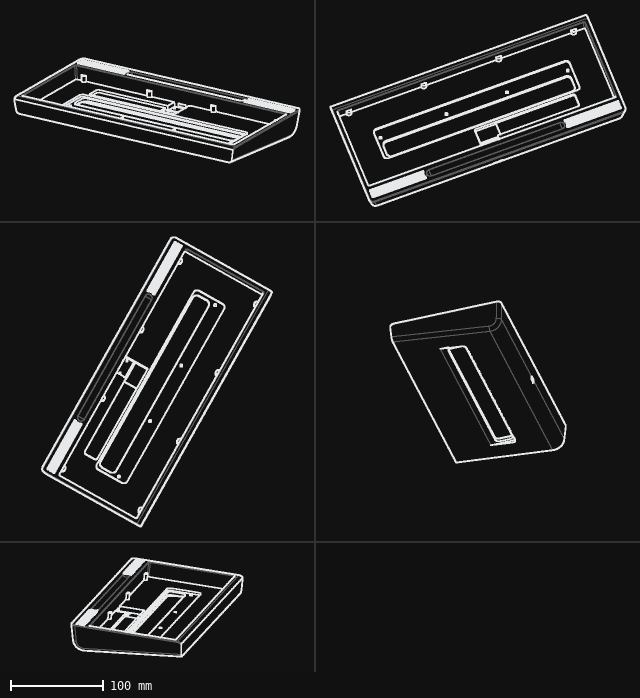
import cadquery as cq
import math


length_x = 297.5
depth_y = 123.5
height_z = 31.2

tilt = 6.0
slope = math.tan(math.radians(tilt))
tilt_sin = math.sin(math.radians(tilt))
tilt_cos = math.cos(math.radians(tilt))

side_draft = 10.0
front_inset = 1.2
back_lean = 3.3
nose_start = 4.8
nose_end_z = 16.0
back_foot_radius = 13.0
side_edge_radius = 4.8
rim_edge_radius = 1.0

rim_side = 5.5
rim_front = 7.7
rim_back = 20.0
cavity_depth = 17.0
cavity_corner_radius = 1.5
mouth_radius = 0.5

post_radius = 3.0
post_height = 6.8
front_post_xs = (-130.3, -43.5, 43.5, 130.3)
back_post_xs = (-132.5, -43.5, 43.5, 130.3)

recess_length = 226.7
recess_front = 37.8
recess_back = 75.3
recess_depth = 2.7
recess_corner_radius = 4.2
window_length = 217.8
window_front = 54.0
window_back = 73.5
window_corner_radius = 4.8
window_plate = 3.5
screw_d = 2.53
screw_depth = 1.5
screw_y = 48.5
screw_xs = (-108.5, -38.0, 32.0, 108.5)

tray_left = -105.3
tray_right = 10.5
tray_front = 78.0
tray_back = 93.5
tray_depth = 3.3
tray_corner_radius = 2.5
board_left = -14.0
board_depth = 5.5

socket_left = -10.0
trench_back = 95.2
trench_depth = 8.3
pin_d = 1.65
pin_depth = 1.5
pin_y = 102.3
pin_spacing = 15.5
port_width = 10.0
port_height = 3.5
port_lift = 1.2
port_corner_radius = 1.0

groove_y = 113.5
groove_length = 159.5
groove_width = 7.7
groove_depth = 1.8
line_width = 1.8
line_pitch = 3.5
line_depth = 1.5
line_outer = 144.0
line_inner = 81.8
middle_line_inner = 82.7

front_y = -depth_y / 2
back_y = depth_y / 2


def edge_overshoot(lean, rise):
    """How far a sharp edge stands out past the rounded rim edge.

    The wall leans by "lean" and the top climbs towards it by "rise" degrees.
    Returns the horizontal and the vertical distance.
    """
    a = math.radians(lean)
    b = math.radians(rise)
    reach = rim_edge_radius / (1 - math.sin(a + b))
    out = reach * (math.cos(a) - math.sin(b)) - rim_edge_radius
    up = reach * (math.cos(b) - math.sin(a)) - rim_edge_radius
    return out, up


half_length = length_x / 2 + edge_overshoot(side_draft, 0)[0]
back_out, back_up = edge_overshoot(back_lean, tilt)
corner_y = back_y + back_out
corner_z = height_z + back_up
front_top_z = corner_z - (corner_y - front_y) * slope

top_plane = cq.Plane(origin=(0, front_y, front_top_z), xDir=(1, 0, 0), normal=(0, -tilt_sin, tilt_cos))
square_to_top = cq.selectors.ParallelDirSelector(top_plane.zDir)


def up_slope(y, depth):
    """Local y of the point at distance y behind the front edge, at a depth."""
    return (y - depth * tilt_sin) / tilt_cos


def sunk_block(x_range, y_range, top, bottom, corner_radius=0.0):
    """Block between two depths; its y range holds at its upper face."""
    x0, x1 = x_range
    v0, v1 = (up_slope(y, top) for y in y_range)
    block = (
        cq.Workplane(top_plane)
        .workplane(offset=-bottom)
        .center((x0 + x1) / 2, (v0 + v1) / 2)
        .rect(x1 - x0, v1 - v0)
        .extrude(bottom - top)
    )
    if corner_radius:
        block = block.edges(square_to_top).fillet(corner_radius)
    return block


def sunk_cylinders(points, diameter, top, bottom):
    """Round bars between two depths; points hold at their upper ends."""
    local_points = [(x, up_slope(y, top)) for x, y in points]
    return (
        cq.Workplane(top_plane)
        .workplane(offset=-bottom)
        .pushPoints(local_points)
        .circle(diameter / 2)
        .extrude(bottom - top)
    )


def outer_shell():
    foot_y = corner_y - corner_z * math.tan(math.radians(back_lean))
    nose_y = front_y + nose_start
    nose_z = front_top_z + nose_start * slope
    profile = (
        cq.Workplane("YZ")
        .moveTo(front_y + front_inset, 0)
        .lineTo(foot_y, 0)
        .lineTo(corner_y, corner_z)
        .lineTo(nose_y, nose_z)
        .tangentArcPoint((front_y, nose_end_z), relative=False)
        .close()
        .extrude(half_length, both=True)
    )
    profile = profile.edges(cq.NearestToPointSelector((0, back_y, 0))).fillet(back_foot_radius)

    half = half_length
    wedge_depth = 2 * height_z
    foot_half = half - wedge_depth * math.tan(math.radians(side_draft))
    wedge_plane = cq.Plane(origin=top_plane.origin, xDir=(1, 0, 0), normal=-top_plane.yDir)
    wedge = (
        cq.Workplane(wedge_plane)
        .polyline([(-half, 0), (half, 0), (foot_half, -wedge_depth), (-foot_half, -wedge_depth)])
        .close()
        .extrude(2 * depth_y, both=True)
    )
    shell = profile.intersect(wedge)

    for x0, x1 in ((-half, -half * 0.9), (half * 0.9, half)):
        foot = cq.selectors.BoxSelector((x0, front_y / 2, -3), (x1, back_y, back_foot_radius))
        back = cq.selectors.BoxSelector((x0, back_y - 3, back_foot_radius), (x1, back_y, height_z))
        shell = shell.edges(foot + back).fillet(side_edge_radius)

    rim_edge = shell.faces(square_to_top).faces(">Z").edges()
    return rim_edge.edges(cq.selectors.BoxSelector(
        (-half - 3, nose_y, 0), (half + 3, back_y + 3, height_z + 3))).fillet(rim_edge_radius)


def cavity():
    half = length_x / 2 - rim_side
    return sunk_block((-half, half), (rim_front, depth_y - rim_back), 0, cavity_depth, cavity_corner_radius)


def posts():
    post_top = cavity_depth - post_height
    lean = post_top * tilt_sin
    points = [(x, rim_front + lean) for x in front_post_xs]
    points += [(x, depth_y - rim_back + lean) for x in back_post_xs]
    return sunk_cylinders(points, 2 * post_radius, post_top, cavity_depth + recess_depth / 2)


def display_cuts():
    floor = cavity_depth + recess_depth
    recess_half = recess_length / 2
    window_half = window_length / 2
    recess = sunk_block(
        (-recess_half, recess_half), (recess_front, recess_back), cavity_depth, floor, recess_corner_radius
    )
    window = sunk_block(
        (-window_half, window_half), (window_front, window_back), floor, 2 * height_z, window_corner_radius
    )
    relief = sunk_block(
        (-recess_half, recess_half), (recess_front, recess_back),
        floor + window_plate, 2 * height_z, recess_corner_radius,
    )
    screws = sunk_cylinders([(x, screw_y) for x in screw_xs], screw_d, floor, floor + screw_depth)
    return [recess, window, relief, screws]


def electronics_cuts():
    wall_y = depth_y - rim_back + cavity_depth * tilt_sin
    board_floor = cavity_depth + board_depth
    socket_x = (socket_left, tray_right)
    tray = sunk_block(
        (tray_left, board_left + 2 * tray_corner_radius),
        (tray_front, tray_back), cavity_depth, cavity_depth + tray_depth, tray_corner_radius,
    )
    tray_end = sunk_block(
        (board_left - tray_corner_radius, tray_right),
        (tray_front, tray_back), cavity_depth, cavity_depth + tray_depth,
    )
    board = sunk_block((board_left, tray_right), (tray_front, tray_back), cavity_depth, board_floor)
    socket = sunk_block(socket_x, (tray_back - line_width, wall_y), cavity_depth, board_floor)
    trench = sunk_block(socket_x, (tray_back, trench_back), board_floor, cavity_depth + trench_depth)
    socket_middle = (socket_left + tray_right) / 2
    pins = sunk_cylinders(
        [(socket_middle + side * pin_spacing / 2, pin_y) for side in (-1, 1)],
        pin_d, board_floor, board_floor + pin_depth,
    )
    return [tray, tray_end, board, socket, trench, pins]


def cable_port():
    """Opening through the back wall, running along the slope."""
    bottom = cavity_depth + board_depth - port_lift
    port_plane = cq.Plane(origin=top_plane.origin, xDir=(1, 0, 0), normal=-top_plane.yDir)
    middle_x = (socket_left + tray_right) / 2
    inner = up_slope(depth_y - rim_back, 0) - 3
    return (
        cq.Workplane(port_plane)
        .workplane(offset=-inner)
        .center(middle_x, -bottom + port_height / 2)
        .rect(port_width, port_height)
        .extrude(-2 * rim_back)
        .edges(cq.selectors.ParallelDirSelector(top_plane.yDir))
        .fillet(port_corner_radius)
    )


def pen_groove():
    """Shallow round-bottomed groove with rounded ends."""
    half_width = groove_width / 2
    radius = (half_width ** 2 + groove_depth ** 2) / (2 * groove_depth)
    straight = groove_length - groove_width
    v = up_slope(groove_y, 0)
    rise = radius - groove_depth
    section_plane = cq.Plane(
        origin=top_plane.toWorldCoords((-straight / 2, v, 0)), xDir=top_plane.yDir, normal=(1, 0, 0)
    )
    trough = (
        cq.Workplane(section_plane)
        .moveTo(-half_width, 0)
        .threePointArc((0, -groove_depth), (half_width, 0))
        .close()
        .extrude(straight)
    )
    for side in (-1, 1):
        centre = top_plane.toWorldCoords((side * straight / 2, v, rise))
        trough = trough.union(cq.Workplane("XY").sphere(radius).translate(centre))
    return trough


def rim_lines():
    lines = []
    for i, inner in enumerate((line_inner, middle_line_inner, line_inner)):
        y = groove_y + (i - 1) * line_pitch
        y_range = (y - line_width / 2, y + line_width / 2)
        lines.append(sunk_block((inner, line_outer), y_range, 0, line_depth))
        lines.append(sunk_block((-line_outer, -inner), y_range, 0, line_depth))
    return lines


def soften_mouths(body):
    """Round the edges where the cavity and the pen groove meet the top face."""
    half = length_x / 2 - rim_side / 2
    inside_rim = cq.selectors.BoxSelector(
        (-half, front_y + nose_start + mouth_radius, 0), (half, back_y - 3, height_z)
    )
    top_face = body.faces(square_to_top).faces(">Z")
    return top_face.edges(inside_rim).fillet(mouth_radius)


shell = outer_shell()
result = shell.cut(cavity()).cut(pen_groove())

result = soften_mouths(result)
result = result.union(posts().intersect(shell))
for tool in display_cuts() + electronics_cuts() + rim_lines():
    result = result.cut(tool)
result = result.cut(cable_port())